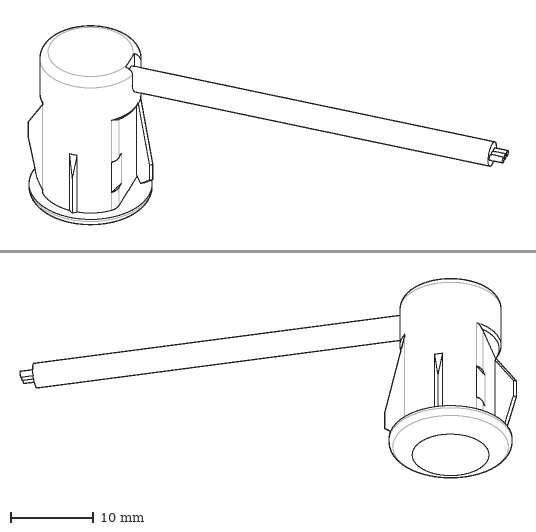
import cadquery as cq
import math

total_length = 62.35
total_height = 22.0
bezel_height = 2.3

housing_radius = 6.2
housing_top_round = 1.0
housing_height = total_height - bezel_height

pocket_front_y = -3.85
pocket_floor_x = -math.sqrt(housing_radius**2 - pocket_front_y**2)
pocket_bend_y = 3.1
pocket_back_y = 4.4
pocket_back_x = -math.sqrt(housing_radius**2 - pocket_back_y**2)
pocket_ceiling_z = 15.35
ceiling_chamfer_width = 0.25
ceiling_chamfer_height = 0.45

seat_front_y = 2.2
seat_bottom_z = 5.0
seat_top_z = 9.5

blade_tip_x = -8.65
blade_tip_y = 1.6
blade_thickness = 0.45
blade_bottom_z = 2.75
blade_top_z = 15.6
blade_bottom_corner = 2.55
blade_tip_low_z = 6.1
blade_tip_high_z = 8.35

rib_width = 1.0
rib_apex_radius = 6.55
rib_top_z = 10.8
rib_full_z = 7.5

cable_diameter = 3.05
cable_axis_z = 19.35
cable_start_x = 5.1
cable_end_x = 52.0
wire_end_x = total_length + blade_tip_x
wire_diameter = 0.75
wire_overlap = 0.01
wire_count = 3

bezel_diameter = 15.0
bezel_radius = bezel_diameter / 2
bezel_rim_height = 0.3
bezel_cone_top_z = 1.2
bezel_cone_top_radius = 7.05
bezel_base_radius = 4.7

clearance = 1.25


def on_both_flanks(shape):
    """The shape and its copy turned half a turn about the housing axis."""
    return [shape, shape.rotate((0, 0, 0), (0, 0, 1), 180)]


def make_pocket_tool():
    """Chord-shaped recess with a rounded back edge and a chamfered ceiling."""
    bend_depth = pocket_back_x - pocket_floor_x
    bend_length = pocket_back_y - pocket_bend_y
    bend_radius = (bend_depth**2 + bend_length**2) / (2 * bend_depth)
    half_turn = math.atan2(bend_depth, bend_length)
    bend_middle = (
        pocket_floor_x + bend_radius * (1 - math.cos(half_turn)),
        pocket_bend_y + bend_radius * math.sin(half_turn),
    )
    outside_x = -housing_radius - clearance
    chamfer_top_z = pocket_ceiling_z + ceiling_chamfer_height
    recess = (
        cq.Workplane("XY", origin=(0, 0, bezel_height))
        .moveTo(outside_x, pocket_front_y)
        .lineTo(pocket_floor_x, pocket_front_y)
        .lineTo(pocket_floor_x, pocket_bend_y)
        .threePointArc(bend_middle, (pocket_back_x, pocket_back_y))
        .lineTo(outside_x, pocket_back_y)
        .close()
        .extrude(chamfer_top_z - bezel_height)
    )
    ceiling = (
        cq.Workplane("XZ")
        .polyline([
            (0, pocket_ceiling_z),
            (housing_radius - ceiling_chamfer_width, pocket_ceiling_z),
            (housing_radius, chamfer_top_z),
            (0, chamfer_top_z),
        ])
        .close()
        .revolve(360, (0, 0, 0), (0, 1, 0))
    )
    return recess.cut(ceiling)


def make_seat_tool():
    """Slanted flat cut from the pocket floor to the back edge of the pocket."""
    outside_x = -housing_radius - clearance
    return (
        cq.Workplane("XY", origin=(0, 0, seat_bottom_z))
        .polyline([
            (outside_x, seat_front_y),
            (pocket_floor_x, seat_front_y),
            (pocket_back_x, pocket_back_y),
            (outside_x, pocket_back_y),
        ])
        .close()
        .extrude(seat_top_z - seat_bottom_z)
    )


def make_blade():
    """Thin plate rooted at the front edge of the pocket, leaning outwards."""
    reach_x = blade_tip_x - pocket_floor_x
    reach_y = blade_tip_y - pocket_front_y
    blade_length = math.hypot(reach_x, reach_y)
    outer_face = cq.Plane(
        origin=(pocket_floor_x, pocket_front_y, 0),
        xDir=(reach_x, reach_y, 0),
        normal=(reach_y, -reach_x, 0),
    )
    return (
        cq.Workplane(outer_face)
        .polyline([
            (0, blade_bottom_z),
            (blade_bottom_corner, blade_bottom_z),
            (blade_length, blade_tip_low_z),
            (blade_length, blade_tip_high_z),
            (0, blade_top_z),
        ])
        .close()
        .extrude(blade_thickness)
    )


def make_rib():
    """Triangular rib on the -Y side whose crest is planed back towards its top."""
    rib = (
        cq.Workplane("XY", origin=(0, 0, bezel_height))
        .polyline([
            (-rib_width / 2, -housing_radius + clearance),
            (-rib_width / 2, -housing_radius),
            (0, -rib_apex_radius),
            (rib_width / 2, -housing_radius),
            (rib_width / 2, -housing_radius + clearance),
        ])
        .close()
        .extrude(rib_top_z - bezel_height)
    )
    crest_cut = (
        cq.Workplane("YZ")
        .polyline([
            (-rib_apex_radius, rib_full_z),
            (-housing_radius, rib_top_z),
            (-rib_apex_radius, rib_top_z),
        ])
        .close()
        .extrude(rib_width / 2, both=True)
    )
    return rib.cut(crest_cut)


def make_cable_slot():
    """Round-bottomed slot, open at the top, that the cable end lies in."""
    slot_length = housing_radius + clearance - cable_start_x
    bed = (
        cq.Workplane("YZ", origin=(cable_start_x, 0, cable_axis_z))
        .circle(cable_diameter / 2)
        .extrude(slot_length)
    )
    opening = cq.Workplane("XY", origin=(cable_start_x, 0, cable_axis_z)).box(
        slot_length, cable_diameter, total_height - cable_axis_z, centered=(False, True, False)
    )
    return bed.union(opening)


def make_housing():
    body = (
        cq.Workplane("XY", origin=(0, 0, bezel_height))
        .circle(housing_radius)
        .extrude(housing_height)
        .faces(">Z")
        .edges()
        .fillet(housing_top_round)
    )
    for tool in on_both_flanks(make_pocket_tool()) + on_both_flanks(make_seat_tool()):
        body = body.cut(tool)
    for addition in on_both_flanks(make_blade()) + on_both_flanks(make_rib()):
        body = body.union(addition)
    return body.cut(make_cable_slot())


def make_cable():
    cable = (
        cq.Workplane("YZ", origin=(cable_start_x, 0, cable_axis_z))
        .circle(cable_diameter / 2)
        .extrude(cable_end_x - cable_start_x)
    )
    wire_pitch = wire_diameter - wire_overlap
    for index in range(wire_count):
        wire_y = (index - (wire_count - 1) / 2) * wire_pitch
        wire = (
            cq.Workplane("YZ", origin=(cable_end_x, wire_y, cable_axis_z))
            .circle(wire_diameter / 2)
            .extrude(wire_end_x - cable_end_x)
        )
        cable = cable.union(wire)
    return cable


def make_bezel():
    """Dish with a short upright rim, a rounded shoulder and a conical underside."""
    rim_bottom_z = bezel_height - bezel_rim_height
    return (
        cq.Workplane("XZ")
        .moveTo(0, 0)
        .lineTo(bezel_base_radius, 0)
        .lineTo(bezel_cone_top_radius, bezel_cone_top_z)
        .tangentArcPoint((bezel_radius, rim_bottom_z), relative=False)
        .lineTo(bezel_radius, bezel_height)
        .lineTo(0, bezel_height)
        .close()
        .revolve(360, (0, 0, 0), (0, 1, 0))
    )


housing = make_housing()
cable = make_cable()
bezel = make_bezel()

result = cq.Compound.makeCompound([housing.val(), cable.val(), bezel.val()])